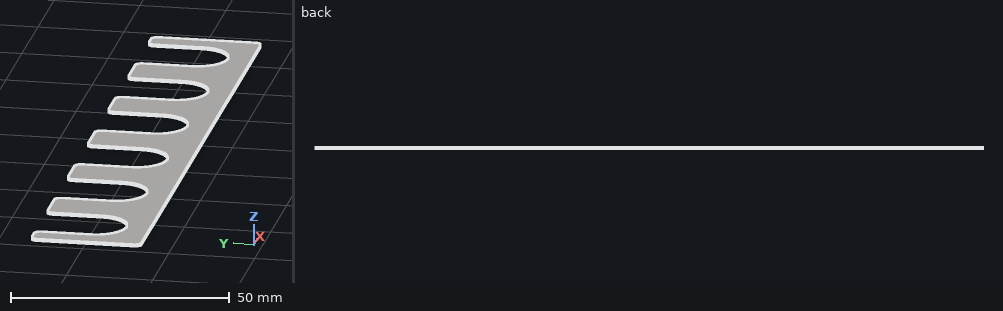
import cadquery as cq

length = 152.4
width = 25.5
thickness = 0.5
slot_count = 6
slot_width = 14.2
slot_depth = 20.0
corner_radius = 1.5

slot_pitch = length / slot_count
slot_radius = slot_width / 2
slot_center_y = width / 2 - slot_depth + slot_radius


def slot_cutter(center_x):
    """Round-bottomed slot that opens through the +Y edge."""
    left = center_x - slot_radius
    right = center_x + slot_radius
    bottom_y = slot_center_y - slot_radius
    return (
        cq.Workplane("XY")
        .moveTo(left, width / 2)
        .lineTo(left, slot_center_y)
        .threePointArc((center_x, bottom_y), (right, slot_center_y))
        .lineTo(right, width / 2)
        .close()
        .extrude(thickness)
    )


comb = cq.Workplane("XY").box(length, width, thickness, centered=(True, True, False))
for index in range(slot_count):
    comb = comb.cut(slot_cutter((index + 0.5) * slot_pitch - length / 2))

back_corners = comb.faces("<Y").edges("|Z")
tip_corners = comb.faces(">Y").edges("|Z")
result = comb.newObject(back_corners.vals() + tip_corners.vals()).fillet(corner_radius)